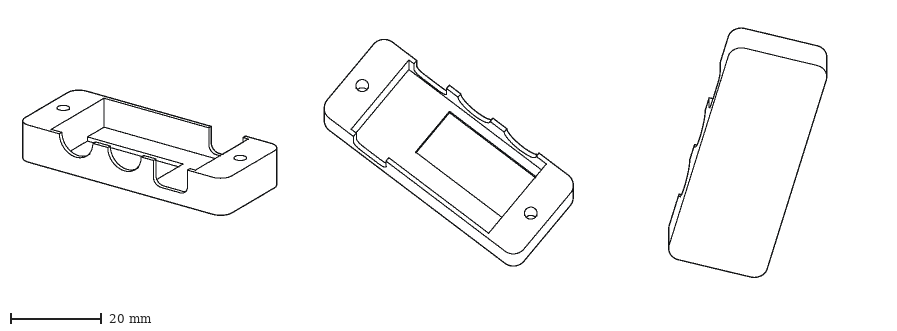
import cadquery as cq

length = 55.5
width = 22.5
height = 9.0
corner_radius = 3.0

wall = 1.0
cavity_start = 8.4
cavity_length = 38.75
floor_height = 2.0

recess_length = 25.7
recess_width = 12.05
recess_front = 3.0
recess_depth = 1.0

hole_diameter = 2.8
hole_inset = 4.0
hole_y = 12.05
hole_depth = 6.0

notch_radius = 4.5
notch_centers = (15.75, 28.75)

slot_start = 36.5
slot_width = 9.15
slot_bottom = 3.0
slot_radius = 2.0


def box(x, y, z, dx, dy, dz):
    """Box located by its minimum corner."""
    return cq.Workplane("XY").box(dx, dy, dz, centered=False).translate((x, y, z))


result = box(0, 0, 0, length, width, height).edges("|Z").fillet(corner_radius)

result = result.cut(
    box(cavity_start, wall, floor_height, cavity_length, width - 2 * wall, height - floor_height)
)
result = result.cut(
    box(cavity_start, recess_front, floor_height - recess_depth, recess_length, recess_width, recess_depth)
)

for hole_x in (hole_inset, length - hole_inset):
    hole = (
        cq.Workplane("XY", origin=(hole_x, hole_y, height))
        .circle(hole_diameter / 2)
        .extrude(-hole_depth)
    )
    result = result.cut(hole)

for notch_x in notch_centers:
    notch = cq.Workplane("XZ", origin=(notch_x, 0, height)).circle(notch_radius).extrude(-wall)
    result = result.cut(notch)

slot = box(slot_start, 0, slot_bottom, slot_width, width, height - slot_bottom)
slot = slot.edges("|Y and <Z").fillet(slot_radius)
result = result.cut(slot)